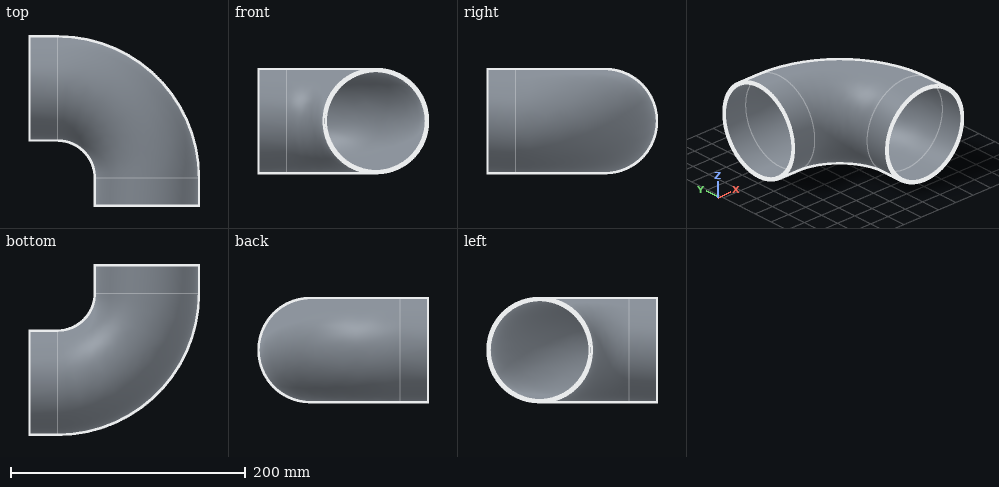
import cadquery as cq
import math

overall_length = 144.5
outer_diameter = 89.0
bore_diameter = 85.1
collar_length = 24.0

bend_radius = overall_length - collar_length - outer_diameter / 2

bend_start = (collar_length, 0)
bend_middle = (
    collar_length + bend_radius * math.sin(math.pi / 4),
    -bend_radius * (1 - math.cos(math.pi / 4)),
)
bend_end = (collar_length + bend_radius, -bend_radius)
outlet = (bend_end[0], bend_end[1] - collar_length)

centreline = (
    cq.Workplane("XY")
    .lineTo(*bend_start)
    .threePointArc(bend_middle, bend_end)
    .lineTo(*outlet)
)

result = (
    cq.Workplane("YZ")
    .circle(outer_diameter / 2)
    .circle(bore_diameter / 2)
    .sweep(centreline)
)